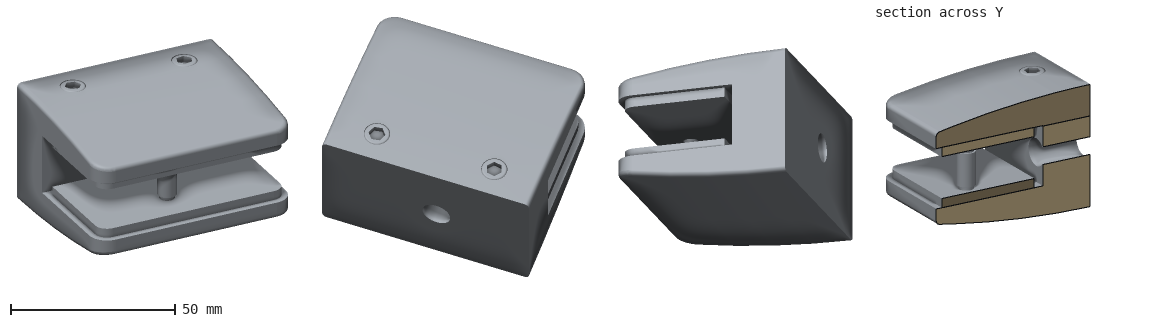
import cadquery as cq
import math

length = 55.0
width = 67.0
height = 40.0
mid_height = height / 2

face_radius = 300.0
corner_radius = 6.0
edge_fillet = 1.5

throat_gap = 19.5
web_depth = 17.0
lower_jaw_top = mid_height - throat_gap / 2
upper_jaw_bottom = mid_height + throat_gap / 2

pad_inset = 2.0
pad_back = 20.0
pad_thickness = 3.0

pin_x = 42.0
pin_y = -3.5
pin_end_diameter = 4.8
pin_body_diameter = 6.0
pin_end_length = 1.25
web_hole_diameter = 9.0

screw_x = 9.0
screw_spacing = 38.0
screw_diameter = 8.0
screw_length = 15.0
screw_rim_radius = 0.7
socket_across_flats = 4.5
socket_depth = 2.0
socket_turn = 9.0


def face_drop(x):
    """Fall of the crowned face below its level at the back."""
    return face_radius - math.sqrt(face_radius**2 - x**2)


def make_shell():
    """Full outer block: crowned faces, rounded open end and filleted rims."""
    end_drop = face_drop(length)
    mid_drop = face_drop(length / 2)
    profile = (
        cq.Workplane("XZ")
        .lineTo(0, height)
        .threePointArc((length / 2, height - mid_drop), (length, height - end_drop))
        .lineTo(length, end_drop)
        .threePointArc((length / 2, mid_drop), (0, 0))
        .close()
    )
    block = profile.extrude(width / 2, both=True)
    block = block.edges("|Z and >X").fillet(corner_radius)
    crowned_faces = block.faces("<Z or >Z")
    return crowned_faces.edges("not(<X)").fillet(edge_fillet)


def slab(x_start, x_end, z_bottom, z_top):
    """Full-width box between the given X and Z limits."""
    box = cq.Workplane("XY").box(
        x_end - x_start, width, z_top - z_bottom, centered=(False, True, False)
    )
    return box.translate((x_start, 0, z_bottom))


def make_screw(y, turn):
    """Round screw with a rounded rim and a hexagon socket in its top."""
    screw = (
        cq.Workplane("XY")
        .circle(screw_diameter / 2)
        .extrude(-screw_length)
        .faces(">Z")
        .edges()
        .fillet(screw_rim_radius)
    )
    across_corners = socket_across_flats / math.cos(math.pi / 6)
    socket = cq.Workplane("XY").polygon(6, across_corners).extrude(-socket_depth)
    socket = socket.rotate((0, 0, 0), (0, 0, 1), 90 + turn)
    return screw.cut(socket).translate((screw_x, y, height))


def make_pad(z_bottom):
    """Flat pad whose front corners run concentric with the jaw corners."""
    pad_length = length - pad_inset - pad_back
    pad_width = width - 2 * pad_inset
    pad = cq.Workplane("XY").box(
        pad_length, pad_width, pad_thickness, centered=(False, True, False)
    )
    pad = pad.edges("|Z and >X").fillet(corner_radius - pad_inset)
    return pad.translate((pad_back, 0, z_bottom))


def make_pin():
    """Pin spanning the pads, with a reduced diameter at each end."""
    pin_length = throat_gap - 2 * pad_thickness
    body_length = pin_length - 2 * pin_end_length
    core = cq.Workplane("XY").circle(pin_end_diameter / 2).extrude(pin_length)
    body = cq.Workplane("XY").circle(pin_body_diameter / 2).extrude(body_length)
    body = body.translate((0, 0, pin_end_length))
    return core.union(body).translate((pin_x, pin_y, lower_jaw_top + pad_thickness))


screw_positions = [(screw_x, side * screw_spacing / 2) for side in (-1, 1)]
screw_holes = (
    cq.Workplane("XY", origin=(0, 0, height - screw_length))
    .pushPoints(screw_positions)
    .circle(screw_diameter / 2)
    .extrude(screw_length)
)

shell = make_shell()
cover = shell.intersect(slab(0, length, upper_jaw_bottom, height)).cut(screw_holes)

web_hole = (
    cq.Workplane("YZ")
    .center(pin_y, mid_height)
    .circle(web_hole_diameter / 2)
    .extrude(web_depth)
)
base = (
    shell.intersect(slab(0, length, 0, upper_jaw_bottom))
    .cut(slab(web_depth, length, lower_jaw_top, upper_jaw_bottom))
    .cut(web_hole)
    .cut(screw_holes)
)

screws = [make_screw(side * screw_spacing / 2, side * socket_turn) for side in (-1, 1)]
pads = [make_pad(z) for z in (lower_jaw_top, upper_jaw_bottom - pad_thickness)]
pin = make_pin()

result = cq.Compound.makeCompound(
    [
        base.val(),
        cover.val(),
        *[pad.val() for pad in pads],
        *[screw.val() for screw in screws],
        pin.val(),
    ]
)